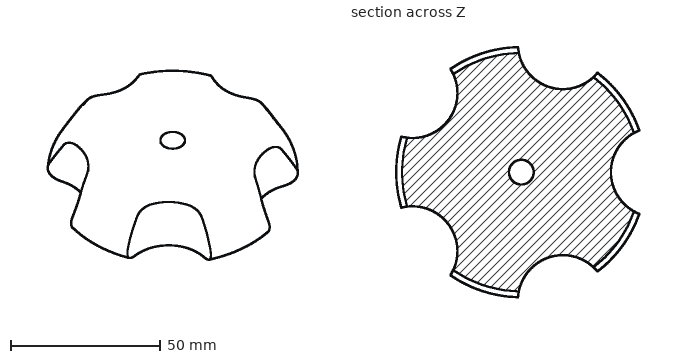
import cadquery as cq

height = 20.0
base_radius = 45.0
top_radius = 35.0
rim_fillet = 5.0

scallop_count = 5
scallop_radius = 15.0
scallop_center_radius = base_radius

bore_diameter = 8.2


def make_body():
    """Truncated cone with both rims rounded."""
    cone = (
        cq.Workplane("XZ")
        .polyline([(0, 0), (base_radius, 0), (top_radius, height), (0, height)])
        .close()
        .revolve(360, (0, 0, 0), (0, 1, 0))
    )
    return cone.faces("<Z or >Z").edges().fillet(rim_fillet)


def make_scallops():
    """Upright cylinders that cut the finger grips, the first one on +X."""
    return (
        cq.Workplane("XY")
        .polarArray(scallop_center_radius, 0, 360, scallop_count)
        .circle(scallop_radius)
        .extrude(height)
    )


def make_bore():
    """Through hole on the axis."""
    return cq.Workplane("XY").circle(bore_diameter / 2).extrude(height)


result = make_body().cut(make_scallops()).cut(make_bore())